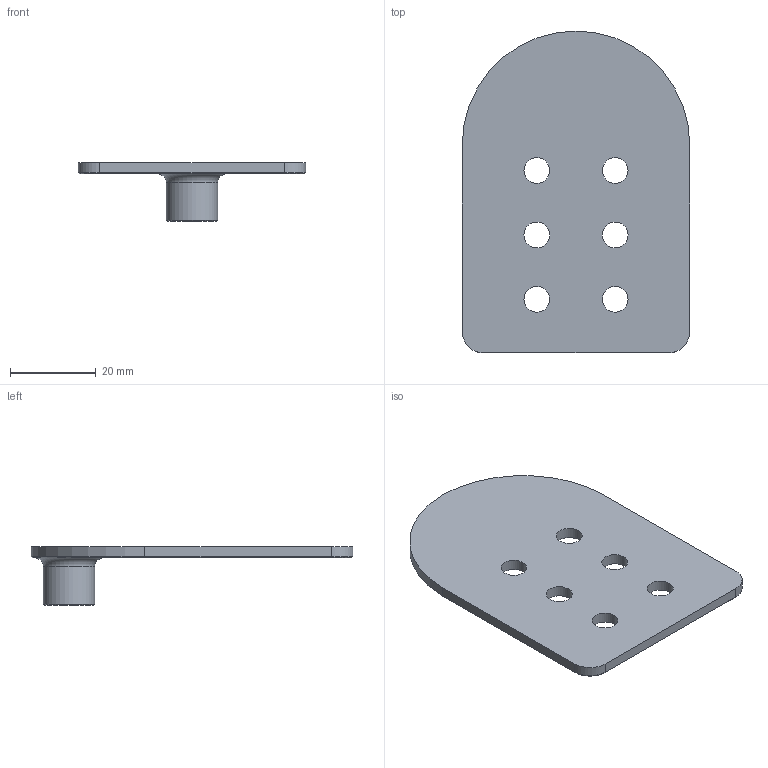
import cadquery as cq
import math

plate_width = 53.0
plate_length = 75.0
plate_thickness = 2.6
corner_radius = 5.0
end_radius = plate_width / 2
bottom_edge_break = 0.25

overall_height = 13.6
pin_diameter = 12.0
pin_to_round_end = 8.85
pin_fillet = 2.0
pin_edge_break = 0.2

hole_diameter = 6.0
hole_columns = 2
hole_rows = 3
column_pitch = 18.25
row_pitch = 15.0
first_row_from_straight_end = 12.5

straight_end_y = end_radius - plate_length
pin_y = end_radius - pin_to_round_end
pin_radius = pin_diameter / 2


def make_plate():
    """Plate with a round end, rounded corners and a broken lower edge."""
    plate = (
        cq.Workplane("XY")
        .workplane(offset=-plate_thickness)
        .moveTo(-end_radius, straight_end_y)
        .lineTo(end_radius, straight_end_y)
        .lineTo(end_radius, 0)
        .threePointArc((0, end_radius), (-end_radius, 0))
        .close()
        .extrude(plate_thickness)
    )
    plate = plate.edges("|Z and <Y").fillet(corner_radius)
    return plate.faces("<Z").edges().chamfer(bottom_edge_break)


def make_pin():
    """Revolved pin with a concave flare at the plate and a broken free edge."""
    flare_end_z = -plate_thickness - pin_fillet
    flare_radius = pin_radius + pin_fillet
    arc_offset = pin_fillet * (1 - math.cos(math.radians(45)))
    profile = (
        cq.Workplane("XZ", origin=(0, pin_y, 0))
        .moveTo(0, -overall_height)
        .lineTo(pin_radius - pin_edge_break, -overall_height)
        .lineTo(pin_radius, -overall_height + pin_edge_break)
        .lineTo(pin_radius, flare_end_z)
        .threePointArc(
            (pin_radius + arc_offset, -plate_thickness - arc_offset),
            (flare_radius, -plate_thickness),
        )
        .lineTo(0, -plate_thickness)
        .close()
    )
    return profile.revolve(360, (0, 0, 0), (0, 1, 0))


def make_holes():
    """Cutting cylinders for the hole grid, centred across the plate width."""
    grid_centre_y = straight_end_y + first_row_from_straight_end + row_pitch * (hole_rows - 1) / 2
    return (
        cq.Workplane("XY", origin=(0, grid_centre_y, 0))
        .rarray(column_pitch, row_pitch, hole_columns, hole_rows)
        .circle(hole_diameter / 2)
        .extrude(-plate_thickness)
    )


result = make_plate().union(make_pin()).cut(make_holes())